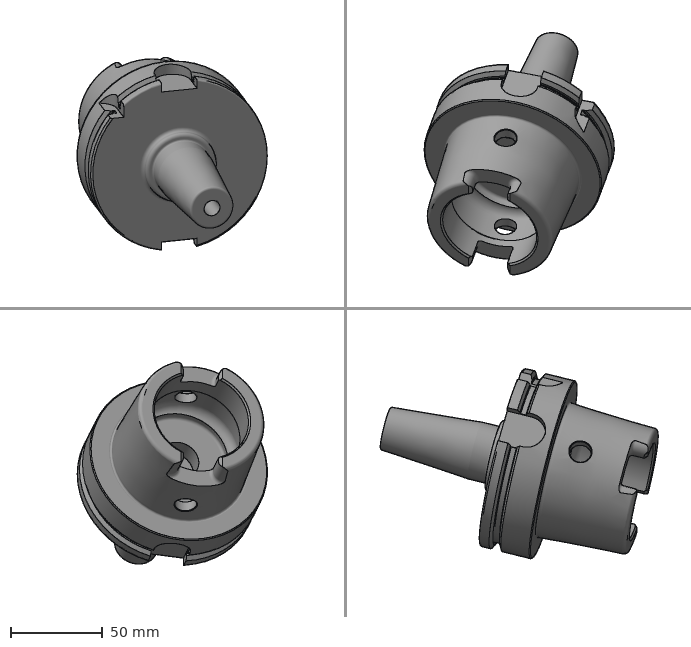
import cadquery as cq
import math

shank_length = 50.0
flange_width = 29.0
nose_end = 95.0

taper_end_radius = 75.42 / 2
taper_end_x = -2.0
taper_slope = 0.05
shank_end_fillet = 2.0

relief_fillet = 1.0
relief_depth = 0.1
relief_rim_radius = 39.1

flange_radius = 50.0
flange_rear_chamfer = 0.6
flange_front_fillet = 1.0
groove_center_x = 19.9
groove_mouth_width = 6.6
groove_wall_radius = 47.5
groove_flank_angle = 30.0
groove_floor_fillet = 0.4
groove_floor_radius = 46.0

collar_radius = 20.0
collar_root_fillet = 2.0
collar_rim_fillet = 2.0
collar_face_x = 34.0
neck_radius = 16.0
neck_root_fillet = 1.0
cone_start_x = 44.2
nose_radius = 12.0
nose_tip_fillet = 1.3

bore_radius = 53.0 / 2
bore_mouth_chamfer = 1.0
clamp_shoulder_x = -30.4
clamp_radius = 63.0 / 2
clamp_groove_end_x = -9.6
clamp_angle = 50.0
cavity_floor_x = 0.0
cavity_floor_fillet = 1.6
coolant_seat_radius = 22.38 / 2
coolant_seat_depth = 12.0
through_hole_diameter = 8.92

drive_slot_half_width = 9.87
drive_slot_flare_radius = 5.0
drive_slot_flare_start = 27.0
drive_slot_root_fillet = 2.0
drive_slot_depth_top = 9.8
drive_slot_depth_bottom = 14.9
drive_slot_lead_in = 1.75

cross_hole_x = -15.0
cross_hole_diameter = 12.0
cross_hole_chamfer = 0.35

keyway_width = 20.0
keyway_end_center_x = 15.0
keyway_floor = 44.0
notch_offset = 31.5

clearance = 60.0


def make_body():
    """Solid of revolution about X: taper shank, flange, collar and nose."""
    shank_end_x = -shank_length
    shank_end_radius = taper_end_radius - taper_slope * (shank_length + taper_end_x)
    mouth_half = groove_mouth_width / 2
    flank_run = (flange_radius - groove_wall_radius) * math.tan(math.radians(groove_flank_angle))
    wall_half = mouth_half - flank_run
    floor_half = wall_half - groove_floor_fillet
    fillet_top = groove_floor_radius + groove_floor_fillet
    root_x = flange_width + collar_root_fillet
    arc_middle = shank_end_fillet * (1 - math.sqrt(0.5))

    profile = (
        cq.Workplane("XY")
        .moveTo(shank_end_x, 0)
        .lineTo(shank_end_x, shank_end_radius - shank_end_fillet)
        .threePointArc(
            (shank_end_x + arc_middle, shank_end_radius - arc_middle),
            (shank_end_x + shank_end_fillet, shank_end_radius + taper_slope * shank_end_fillet),
        )
        .lineTo(taper_end_x, taper_end_radius)
        .lineTo(relief_depth - relief_fillet, taper_end_radius)
        .radiusArc((relief_depth, taper_end_radius + relief_fillet), -relief_fillet)
        .lineTo(0, relief_rim_radius)
        .lineTo(0, flange_radius - flange_rear_chamfer)
        .lineTo(flange_rear_chamfer, flange_radius)
        .lineTo(groove_center_x - mouth_half, flange_radius)
        .lineTo(groove_center_x - wall_half, groove_wall_radius)
        .lineTo(groove_center_x - wall_half, fillet_top)
        .radiusArc((groove_center_x - floor_half, groove_floor_radius), -groove_floor_fillet)
        .lineTo(groove_center_x + floor_half, groove_floor_radius)
        .radiusArc((groove_center_x + wall_half, fillet_top), -groove_floor_fillet)
        .lineTo(groove_center_x + wall_half, groove_wall_radius)
        .lineTo(groove_center_x + mouth_half, flange_radius)
        .lineTo(flange_width - flange_front_fillet, flange_radius)
        .radiusArc((flange_width, flange_radius - flange_front_fillet), flange_front_fillet)
        .lineTo(flange_width, collar_radius + collar_root_fillet)
        .radiusArc((root_x, collar_radius), -collar_root_fillet)
        .lineTo(collar_face_x - collar_rim_fillet, collar_radius)
        .radiusArc((collar_face_x, collar_radius - collar_rim_fillet), collar_rim_fillet)
        .lineTo(collar_face_x, neck_radius + neck_root_fillet)
        .radiusArc((collar_face_x + neck_root_fillet, neck_radius), -neck_root_fillet)
        .lineTo(cone_start_x, neck_radius)
        .lineTo(nose_end, nose_radius)
        .lineTo(nose_end, 0)
        .close()
    )
    body = profile.revolve(360, (0, 0, 0), (1, 0, 0))
    return body.faces(">X").edges().fillet(nose_tip_fillet)


def make_cavity():
    """Hollow of the shank: bore, clamping groove, floor and coolant tube seat."""
    mouth_x = -shank_length
    clamp_run = (clamp_radius - bore_radius) / math.tan(math.radians(clamp_angle))
    groove_corner = clamp_radius - bore_radius
    profile = (
        cq.Workplane("XY")
        .moveTo(mouth_x, 0)
        .lineTo(mouth_x, bore_radius + bore_mouth_chamfer)
        .lineTo(mouth_x + bore_mouth_chamfer, bore_radius)
        .lineTo(clamp_shoulder_x, bore_radius)
        .lineTo(clamp_shoulder_x + clamp_run, clamp_radius)
        .lineTo(clamp_groove_end_x, clamp_radius)
        .radiusArc((clamp_groove_end_x + groove_corner, bore_radius), groove_corner)
        .lineTo(cavity_floor_x - cavity_floor_fillet, bore_radius)
        .radiusArc((cavity_floor_x, bore_radius - cavity_floor_fillet), cavity_floor_fillet)
        .lineTo(cavity_floor_x, coolant_seat_radius)
        .lineTo(cavity_floor_x + coolant_seat_depth, coolant_seat_radius)
        .lineTo(cavity_floor_x + coolant_seat_depth, 0)
        .close()
    )
    return profile.revolve(360, (0, 0, 0), (1, 0, 0))


def make_through_hole():
    return (
        cq.Workplane("YZ", origin=(-shank_length, 0, 0))
        .circle(through_hole_diameter / 2)
        .extrude(shank_length + nose_end)
    )


def make_drive_slot(depth, side):
    """Slot in the shank end, opening toward +Z (side = 1) or -Z (side = -1)."""
    half = drive_slot_half_width
    flare = drive_slot_flare_radius
    low = bore_radius / 2
    flare_top = drive_slot_flare_start + flare
    cutter = (
        cq.Workplane("YZ", origin=(-shank_length, 0, 0))
        .moveTo(-half, low)
        .lineTo(half, low)
        .lineTo(half, drive_slot_flare_start)
        .radiusArc((half + flare, flare_top), flare)
        .lineTo(clearance, flare_top)
        .lineTo(clearance, clearance)
        .lineTo(-clearance, clearance)
        .lineTo(-clearance, flare_top)
        .lineTo(-half - flare, flare_top)
        .radiusArc((-half, drive_slot_flare_start), flare)
        .close()
        .extrude(depth)
        .faces(">X")
        .edges()
        .fillet(drive_slot_root_fillet)
    )
    lead_in = (
        cq.Workplane("XY", origin=(0, 0, low))
        .moveTo(-shank_length, half + drive_slot_lead_in)
        .lineTo(-shank_length + drive_slot_lead_in, half)
        .lineTo(-shank_length + drive_slot_lead_in, -half)
        .lineTo(-shank_length, -half - drive_slot_lead_in)
        .close()
        .extrude(clearance)
    )
    cutter = cutter.union(lead_in)
    if side < 0:
        cutter = cutter.rotate((0, 0, 0), (1, 0, 0), 180)
    return cutter


def cut_cross_hole(body):
    """Hole across the shank along Z, with its outer rims chamfered."""
    rim = cross_hole_chamfer + cross_hole_diameter / 2
    drilled = body.cut(
        cq.Workplane("XY", origin=(cross_hole_x, 0, -clearance))
        .circle(cross_hole_diameter / 2)
        .extrude(2 * clearance)
    )
    for low_z, high_z in ((clamp_radius, clearance), (-clearance, -clamp_radius)):
        rim_box = cq.selectors.BoxSelector(
            (cross_hole_x - rim, -rim, low_z), (cross_hole_x + rim, rim, high_z), boundingbox=True
        )
        drilled = drilled.edges(rim_box).chamfer(cross_hole_chamfer)
    return drilled


def make_keyway(center_y, floor_z):
    """Open-ended slot with a round inner end, cut down to floor_z."""
    radius = keyway_width / 2
    return (
        cq.Workplane("XY", origin=(0, center_y, floor_z))
        .moveTo(clearance, -radius)
        .lineTo(clearance, radius)
        .lineTo(keyway_end_center_x, radius)
        .threePointArc((keyway_end_center_x - radius, 0), (keyway_end_center_x, -radius))
        .close()
        .extrude(clearance)
    )


top_keyway = make_keyway(0, keyway_floor)
bottom_keyway = top_keyway.rotate((0, 0, 0), (1, 0, 0), 180)
orientation_notch = make_keyway(-notch_offset - keyway_width / 2, notch_offset)
body = make_body().cut(make_cavity()).cut(make_through_hole())
body = body.cut(make_drive_slot(drive_slot_depth_top, 1)).cut(make_drive_slot(drive_slot_depth_bottom, -1))
body = cut_cross_hole(body)
result = body.cut(top_keyway).cut(bottom_keyway).cut(orientation_notch)